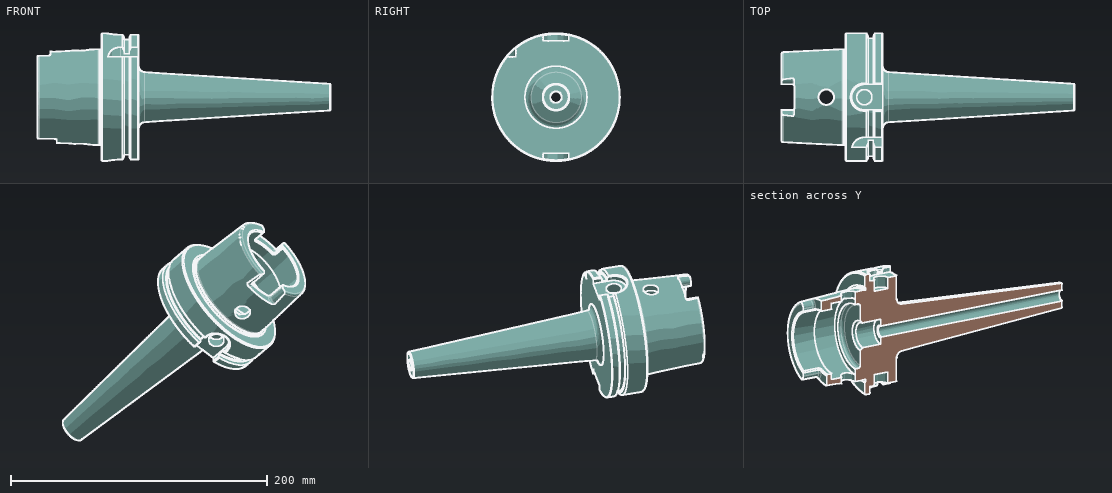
import cadquery as cq
import math

LENGTH = 229.0
CLEARANCE = 2.3

SELECTION_MARGIN = 0.2
SELECTION_TOLERANCE = 0.002

SHANK_LENGTH = 50.0
SHANK_END_RADIUS = 35.3
SHANK_ROOT_RADIUS = 37.5
SHANK_END_ROUND = 1.5
TAPER_LENGTH = 47.0
TAPER_SLOPE = (SHANK_ROOT_RADIUS - SHANK_END_RADIUS) / TAPER_LENGTH

RELIEF_START = 48.3
RELIEF_DEPTH = 0.2
RELIEF_WIDTH = 0.7
FACE_RECESS_RADIUS = 39.5
FACE_RECESS_FLOOR_RADIUS = 38.0
FACE_RECESS_DEPTH = 1.0

FLANGE_DIAMETER = 100.0
FLANGE_RADIUS = FLANGE_DIAMETER / 2
FLANGE_END = 79.0
FLANGE_CHAMFER = 1.0
FLANGE_BACK_CHAMFER = 0.5
GROOVE_START = 66.5
GROOVE_MOUTH_WIDTH = 6.6
GROOVE_CENTER = GROOVE_START + GROOVE_MOUTH_WIDTH / 2
GROOVE_FLOOR_WIDTH = 4.1
GROOVE_FLARE_DEPTH = 2.3
GROOVE_DEPTH = 4.0
GROOVE_FLOOR_RADIUS = FLANGE_RADIUS - GROOVE_DEPTH

NECK_START = 83.5
NECK_RADIUS = 19.7
NECK_FILLET = 4.5
NOSE_RADIUS = 10.5
NOSE_CHAMFER = 0.7

BORE_RADIUS = 26.5
BORE_CHAMFER = 1.0
BORE_DEPTH = 45.8
BORE_FLOOR_FILLET = 2.0
CLAMP_LIP = 20.0
CLAMP_RADIUS = 31.4
CLAMP_END = 41.2

COOLANT_MOUTH_RADIUS = 12.1
COOLANT_RADIUS = 10.0
COOLANT_DEPTH = 18.3
TOOL_BORE_RADIUS = 4.4
TOOL_BORE_CHAMFER = 0.7

SLOT_WIDTH = 20.0
TOP_SLOT_DEPTH = 10.0
BOTTOM_SLOT_DEPTH = 15.0
SLOT_FLARE_RADIUS = 4.5
SLOT_FLARE_OVERRUN = 0.2
SLOT_END_FILLET = 1.4

CROSS_HOLE_X = 35.0
CROSS_HOLE_DIAMETER = 12.0

KEYWAY_CENTER_X = 64.8
KEYWAY_WIDTH = 20.0
KEYWAY_CHAMFER = 1.0
KEYWAY_FLOOR = 44.0
KEYWAY_HOLE_DIAMETER = 12.0
KEYWAY_HOLE_DEPTH = 9.2
NOTCH_WALL = 31.4


def revolve_about_x(outline):
    """Turn a closed outline of (x, radius) points around the X axis."""
    return outline.close().revolve(360, (0, 0, 0), (1, 0, 0))


def turned_body():
    """Shank, flange and nose as one turned solid, before any cuts."""
    round_diagonal = SHANK_END_ROUND * math.sqrt(0.5)
    relief_radius = SHANK_ROOT_RADIUS - RELIEF_DEPTH
    recess_floor = SHANK_LENGTH + FACE_RECESS_DEPTH

    cone_angle = math.atan((NECK_RADIUS - NOSE_RADIUS) / (LENGTH - NECK_START))
    center_x = NECK_START + NECK_FILLET * math.sin(cone_angle)
    center_r = NECK_RADIUS + NECK_FILLET * math.cos(cone_angle)
    face_angle = math.pi
    mid_angle = (face_angle + math.pi / 2 + cone_angle) / 2

    def on_fillet(angle):
        return (center_x + NECK_FILLET * math.cos(angle), center_r - NECK_FILLET * math.sin(angle))

    outline = (
        cq.Workplane("XY")
        .moveTo(0, 0)
        .lineTo(0, SHANK_END_RADIUS - SHANK_END_ROUND)
        .threePointArc(
            (SHANK_END_ROUND - round_diagonal, SHANK_END_RADIUS - SHANK_END_ROUND + round_diagonal),
            (SHANK_END_ROUND, SHANK_END_RADIUS),
        )
        .lineTo(TAPER_LENGTH, SHANK_ROOT_RADIUS)
        .lineTo(RELIEF_START, SHANK_ROOT_RADIUS)
        .lineTo(RELIEF_START + RELIEF_WIDTH, relief_radius)
        .lineTo(recess_floor, relief_radius)
        .lineTo(recess_floor, FACE_RECESS_FLOOR_RADIUS)
        .lineTo(SHANK_LENGTH, FACE_RECESS_RADIUS)
        .lineTo(SHANK_LENGTH, FLANGE_RADIUS - FLANGE_CHAMFER)
        .lineTo(SHANK_LENGTH + FLANGE_CHAMFER, FLANGE_RADIUS)
        .lineTo(FLANGE_END, FLANGE_RADIUS)
        .lineTo(FLANGE_END, center_r)
        .lineTo(*on_fillet(face_angle))
        .threePointArc(on_fillet(mid_angle), (NECK_START, NECK_RADIUS))
        .lineTo(LENGTH - NOSE_CHAMFER, NOSE_RADIUS)
        .lineTo(LENGTH, NOSE_RADIUS - NOSE_CHAMFER)
        .lineTo(LENGTH, 0)
    )
    return revolve_about_x(outline)


def gripper_groove():
    """Ring cutter for the groove around the flange, with a flared mouth."""
    half_mouth = GROOVE_MOUTH_WIDTH / 2
    half_floor = GROOVE_FLOOR_WIDTH / 2
    flare_radius = FLANGE_RADIUS - GROOVE_FLARE_DEPTH
    outside = FLANGE_RADIUS + CLEARANCE
    outline = (
        cq.Workplane("XY")
        .moveTo(GROOVE_CENTER - half_mouth, outside)
        .lineTo(GROOVE_CENTER - half_mouth, FLANGE_RADIUS)
        .lineTo(GROOVE_CENTER - half_floor, flare_radius)
        .lineTo(GROOVE_CENTER - half_floor, GROOVE_FLOOR_RADIUS)
        .lineTo(GROOVE_CENTER + half_floor, GROOVE_FLOOR_RADIUS)
        .lineTo(GROOVE_CENTER + half_floor, flare_radius)
        .lineTo(GROOVE_CENTER + half_mouth, FLANGE_RADIUS)
        .lineTo(GROOVE_CENTER + half_mouth, outside)
    )
    return revolve_about_x(outline)


def flange_back_chamfer():
    """Ring cutter that breaks the outer edge of the +X flange face."""
    outline = (
        cq.Workplane("XY")
        .moveTo(FLANGE_END, FLANGE_RADIUS - FLANGE_BACK_CHAMFER)
        .lineTo(FLANGE_END - FLANGE_BACK_CHAMFER, FLANGE_RADIUS)
        .lineTo(FLANGE_END - FLANGE_BACK_CHAMFER, FLANGE_RADIUS + CLEARANCE)
        .lineTo(FLANGE_END + CLEARANCE, FLANGE_RADIUS + CLEARANCE)
        .lineTo(FLANGE_END + CLEARANCE, FLANGE_RADIUS - FLANGE_BACK_CHAMFER)
    )
    return revolve_about_x(outline)


def inner_cavity():
    """Bore with clamping groove, coolant passage and tool bore, all on the axis."""
    mouth_chamfer = COOLANT_MOUTH_RADIUS - COOLANT_RADIUS
    coolant_floor = BORE_DEPTH + COOLANT_DEPTH
    fillet_start = BORE_DEPTH - BORE_FLOOR_FILLET
    diagonal = BORE_FLOOR_FILLET * math.sqrt(0.5)
    outline = (
        cq.Workplane("XY")
        .moveTo(0, 0)
        .lineTo(0, BORE_RADIUS)
        .lineTo(CLAMP_LIP, BORE_RADIUS)
        .lineTo(CLAMP_LIP, CLAMP_RADIUS)
        .lineTo(CLAMP_END, CLAMP_RADIUS)
        .lineTo(CLAMP_END, BORE_RADIUS)
        .lineTo(fillet_start, BORE_RADIUS)
        .threePointArc(
            (fillet_start + diagonal, BORE_RADIUS - BORE_FLOOR_FILLET + diagonal),
            (BORE_DEPTH, BORE_RADIUS - BORE_FLOOR_FILLET),
        )
        .lineTo(BORE_DEPTH, COOLANT_MOUTH_RADIUS)
        .lineTo(BORE_DEPTH + mouth_chamfer, COOLANT_RADIUS)
        .lineTo(coolant_floor, COOLANT_RADIUS)
        .lineTo(coolant_floor, TOOL_BORE_RADIUS + TOOL_BORE_CHAMFER)
        .lineTo(coolant_floor + TOOL_BORE_CHAMFER, TOOL_BORE_RADIUS)
        .lineTo(LENGTH, TOOL_BORE_RADIUS)
        .lineTo(LENGTH, 0)
    )
    return revolve_about_x(outline)


def shank_slot(depth):
    """Slot open at X = 0 and toward +Z; its walls flare out in rounds to the shank surface."""
    half = SLOT_WIDTH / 2
    outer_radius = SHANK_END_RADIUS + depth * TAPER_SLOPE + SLOT_FLARE_OVERRUN
    round_center_y = half + SLOT_FLARE_RADIUS
    round_center_radius = outer_radius - SLOT_FLARE_RADIUS
    round_center_z = math.sqrt(round_center_radius**2 - round_center_y**2)
    outward = math.atan2(round_center_z, round_center_y)
    mid_angle = (math.pi + outward) / 2

    def on_round(angle):
        return (
            round_center_y + SLOT_FLARE_RADIUS * math.cos(angle),
            round_center_z + SLOT_FLARE_RADIUS * math.sin(angle),
        )

    def mirrored(point):
        return (-point[0], point[1])

    tip = on_round(outward)
    top = SHANK_ROOT_RADIUS + CLEARANCE
    slot = (
        cq.Workplane("YZ")
        .moveTo(half, 0)
        .lineTo(half, round_center_z)
        .threePointArc(on_round(mid_angle), tip)
        .lineTo(tip[0], top)
        .lineTo(-tip[0], top)
        .lineTo(*mirrored(tip))
        .threePointArc(mirrored(on_round(mid_angle)), (-half, round_center_z))
        .lineTo(-half, 0)
        .close()
        .extrude(depth)
    )
    return slot.faces(">X").edges().fillet(SLOT_END_FILLET)


def round_ended_slot(half_width, floor, center_y=0):
    """Slot cutter above a flat floor, with a half-round end, running out past the +X face of the flange."""
    run_out = FLANGE_END - KEYWAY_CENTER_X + CLEARANCE
    return (
        cq.Workplane("XY", origin=(KEYWAY_CENTER_X, center_y, floor))
        .moveTo(0, half_width)
        .threePointArc((-half_width, 0), (0, -half_width))
        .lineTo(run_out, -half_width)
        .lineTo(run_out, half_width)
        .close()
        .extrude(FLANGE_RADIUS + CLEARANCE - floor)
    )


def keyway():
    """Keyway toward +Z in the flange, open toward +X, with a blind hole in its floor."""
    hole = (
        cq.Workplane("XY", origin=(KEYWAY_CENTER_X, 0, KEYWAY_FLOOR - KEYWAY_HOLE_DEPTH))
        .circle(KEYWAY_HOLE_DIAMETER / 2)
        .extrude(KEYWAY_HOLE_DEPTH)
    )
    return round_ended_slot(KEYWAY_WIDTH / 2, KEYWAY_FLOOR).union(hole)


def orientation_notch():
    """Corner notch toward -Y and +Z, cut by the same size of round-ended slot."""
    half = KEYWAY_WIDTH / 2
    return round_ended_slot(half, NOTCH_WALL, -NOTCH_WALL - half)


def turned_over(cutter):
    """Swing a cutter half a turn around the X axis."""
    return cutter.rotate((0, 0, 0), (1, 0, 0), 180)


def cross_hole():
    """Hole straight through both walls of the shank along Z."""
    return (
        cq.Workplane("XY", origin=(CROSS_HOLE_X, 0, -FLANGE_RADIUS))
        .circle(CROSS_HOLE_DIAMETER / 2)
        .extrude(FLANGE_DIAMETER)
    )


def chamfer_keyway_rims(body):
    """Break the edges where the keyway walls meet the outside of the flange."""
    half = KEYWAY_WIDTH / 2 + SELECTION_MARGIN
    inner = (KEYWAY_FLOOR + FLANGE_RADIUS) / 2
    outer = FLANGE_RADIUS + SELECTION_MARGIN
    for low, high in ((inner, outer), (-outer, -inner)):
        rim_box = cq.selectors.BoxSelector(
            (KEYWAY_CENTER_X - half, -half, low),
            (FLANGE_END - SELECTION_MARGIN, half, high),
        )
        body = body.edges(rim_box).chamfer(KEYWAY_CHAMFER)
    return body


def chamfer_bore_rim(body):
    """Break the stepped edge of the bore all the way around the open end and both slots."""

    def on_rim(vertex):
        within_slots = vertex.X < BOTTOM_SLOT_DEPTH + SELECTION_MARGIN
        return within_slots and abs(math.hypot(vertex.Y, vertex.Z) - BORE_RADIUS) < SELECTION_TOLERANCE

    mouth = cq.selectors.BoxSelector(
        (-SELECTION_MARGIN, -FLANGE_RADIUS, -FLANGE_RADIUS),
        (BOTTOM_SLOT_DEPTH + SELECTION_MARGIN, FLANGE_RADIUS, FLANGE_RADIUS),
    )
    rim = body.edges(mouth).filter(lambda edge: all(on_rim(vertex) for vertex in edge.Vertices()))
    return rim.chamfer(BORE_CHAMFER)


holder = turned_body().cut(keyway()).cut(turned_over(keyway()))
holder = chamfer_keyway_rims(holder)
holder = (
    holder.cut(gripper_groove())
    .cut(flange_back_chamfer())
    .cut(orientation_notch())
    .cut(inner_cavity())
    .cut(shank_slot(TOP_SLOT_DEPTH))
    .cut(turned_over(shank_slot(BOTTOM_SLOT_DEPTH)))
    .cut(cross_hole())
)
result = chamfer_bore_rim(holder)